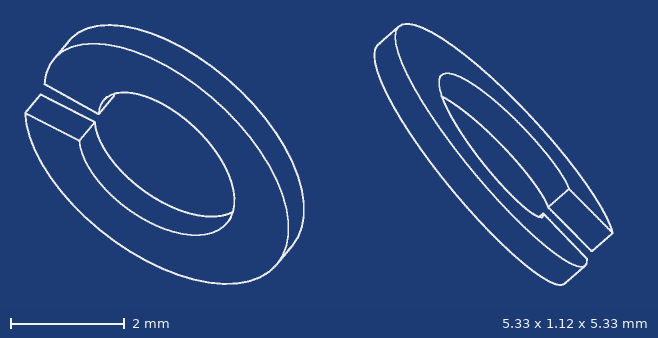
import cadquery as cq

outer_diameter = 5.33
inner_diameter = 3.05
thickness = 0.5
overall_width = 1.12
gap_angle = 3.6

outer_radius = outer_diameter / 2
inner_radius = inner_diameter / 2
radial_width = outer_radius - inner_radius
mean_radius = (outer_radius + inner_radius) / 2
rise = overall_width - thickness
turn_fraction = (360 - gap_angle) / 360
pitch = rise / turn_fraction


def wound_ring():
    """Left-hand coil around Z, starting on the +X axis and centred in height."""
    path = cq.Wire.makeHelix(pitch, rise, mean_radius, lefthand=True)
    section = cq.Workplane("XZ").center(mean_radius, 0).rect(radial_width, thickness)
    coil = section.sweep(cq.Workplane(obj=path), isFrenet=True)
    return coil.translate((0, 0, -rise / 2))


along_y = wound_ring().rotate((0, 0, 0), (1, 0, 0), -90)
result = along_y.rotate((0, 0, 0), (0, 1, 0), 180)